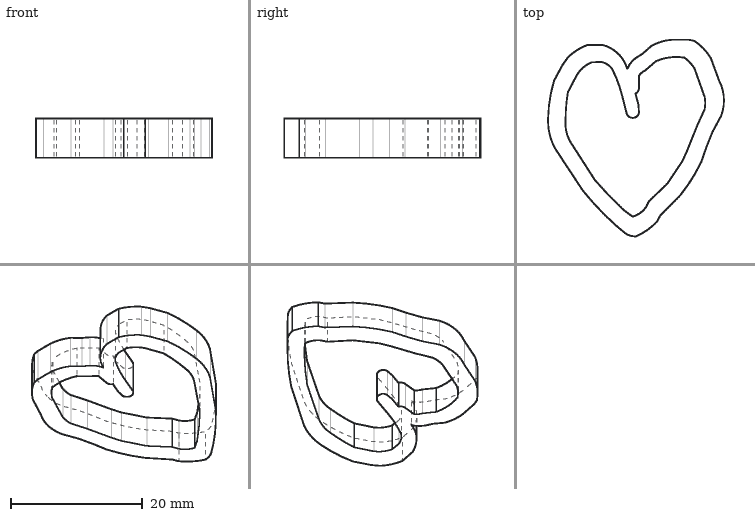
import cadquery as cq

width = 26.78
length = 29.95
height = 6.0

notch = (12.07, 25.52)
left_lobe_top = 29.15
left_shoulder = (1.08, 13.4)
bottom_point = (13.35, 0.0)
right_waist = (26.35, 18.35)

stub_x = 13.87
stub_top = (stub_x, 24.47)
stub_foot = (13.33, 21.75)
tail_root = (9.73, 25.52)
inner_shoulder = (3.53, 14.23)
inner_point = (12.88, 3.05)
inner_waist = (23.8, 19.35)


def outer_left(edge):
    """Outer edge from the notch over the left lobe and down to the bottom point."""
    return (
        edge.threePointArc((10.48, 28.0), (8.33, left_lobe_top))
        .lineTo(6.0, left_lobe_top)
        .threePointArc((4.28, 28.27), (3.05, 27.28))
        .lineTo(2.22, 26.12)
        .lineTo(0.9, 23.65)
        .threePointArc((0.27, 20.88), (0.0, 17.9))
        .threePointArc((0.25, 15.55), left_shoulder)
        .lineTo(5.3, 6.98)
        .threePointArc((7.52, 4.43), (10.3, 1.7))
        .lineTo(11.65, 0.57)
        .threePointArc((12.52, 0.12), bottom_point)
    )


def outer_right(edge):
    """Outer edge from the bottom point up the right flank, over the lobe, to the notch."""
    return (
        edge.threePointArc((15.25, 1.08), (16.65, 2.35))
        .lineTo(17.1, 3.2)
        .lineTo(20.13, 6.25)
        .threePointArc((21.9, 8.75), (23.35, 11.4))
        .lineTo(24.08, 13.5)
        .lineTo(25.07, 15.95)
        .lineTo(*right_waist)
        .threePointArc((width, 20.35), (26.03, 23.75))
        .lineTo(24.8, 27.1)
        .threePointArc((23.63, 28.63), (22.25, 29.77))
        .lineTo(21.38, length)
        .lineTo(18.87, length)
        .threePointArc((17.25, 29.65), (15.72, 29.0))
        .lineTo(14.4, 27.82)
        .lineTo(13.35, 27.15)
        .threePointArc((12.65, 26.48), notch)
    )


def inner_tail(edge):
    """Inner edge down the stub, around the free round end of the tail and back up."""
    return (
        edge.lineTo(stub_x, 22.67)
        .threePointArc((13.72, 22.07), stub_foot)
        .lineTo(13.78, 20.07)
        .lineTo(stub_x, 18.9)
        .threePointArc((12.97, 18.03), (11.98, 18.63))
        .lineTo(11.3, 21.32)
        .threePointArc((10.65, 23.4), tail_root)
    )


def inner_left(edge):
    """Inner edge from the tail over the left lobe and down to the inner point."""
    return (
        edge.threePointArc((9.0, 26.18), (8.05, 26.55))
        .lineTo(6.62, 26.48)
        .threePointArc((5.45, 25.75), (4.45, 24.65))
        .lineTo(3.05, 21.95)
        .threePointArc((2.8, 19.8), (2.7, 17.37))
        .threePointArc((2.88, 15.72), inner_shoulder)
        .lineTo(7.15, 8.6)
        .lineTo(9.13, 6.4)
        .lineTo(11.55, 4.0)
        .lineTo(*inner_point)
    )


def inner_right(edge):
    """Inner edge from the inner point up the right flank, over the lobe, to the stub."""
    return (
        edge.threePointArc((14.0, 3.55), (14.9, 4.45))
        .lineTo(15.33, 5.35)
        .lineTo(18.15, 8.05)
        .lineTo(20.4, 11.4)
        .lineTo(21.1, 12.97)
        .lineTo(22.65, 16.8)
        .lineTo(*inner_waist)
        .threePointArc((23.9, 20.25), (23.8, 21.23))
        .lineTo(22.25, 25.6)
        .threePointArc((21.6, 26.45), (20.75, 27.2))
        .threePointArc((18.5, 27.22), (16.45, 26.65))
        .lineTo(14.8, 25.25)
        .threePointArc((14.32, 24.95), stub_top)
    )


def prism(start, sections):
    """Closed outline that joins the sections in order, extruded to the band height."""
    edge = cq.Workplane("XY").moveTo(*start)
    for section in sections:
        edge = section(edge)
    return edge.close().extrude(height)


heart = prism(notch, [outer_left, outer_right])
opening = prism(stub_top, [inner_tail, inner_left, inner_right])
result = heart.cut(opening)